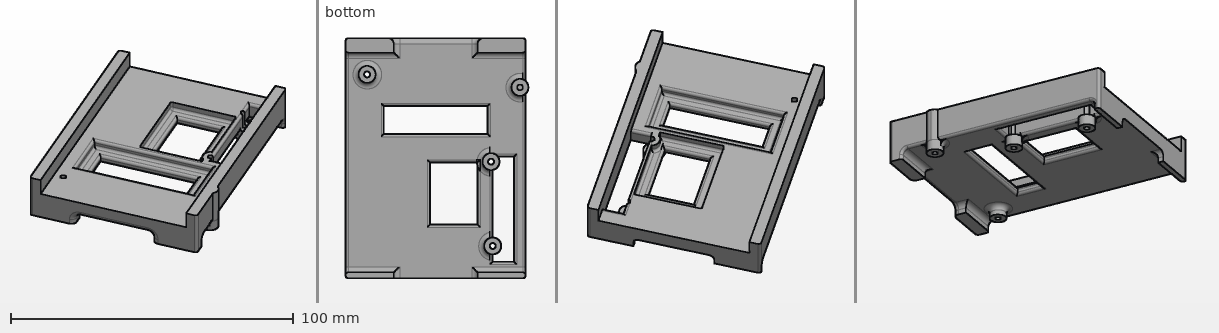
import cadquery as cq

WIDTH = 63.75
LENGTH = 85.0
HEIGHT = 16.0
RAIL_WIDTH = 4.2
FLOOR_TOP = 10.0
CEILING = 4.0
CORNER_RADIUS = 1.0
EDGE_RADIUS = 1.0

FRONT_PASS_LEFT = 17.1
FRONT_PASS_RIGHT = 46.75
SIDE_PASS_FRONT = 5.1
SIDE_PASS_BACK = 82.9
PASS_RADIUS = 2.0
FRONT_EDGE_RADIUS = 2.0

LEDGE_Z = 7.05
LEDGE_WIDTH = 4.1
TALL_WINDOW = (25.8, 39.95, 50.75, 69.95)
WIDE_WINDOW = (9.5, 20.0, 54.3, 37.9)
TALL_CORNER_RADIUS = 0.7

SLOT_LEFT = 52.1
SLOT_FRONT = 42.0
SLOT_BACK = 79.05
SLOT_RIGHT = WIDTH - RAIL_WIDTH

BOSS_RADIUS = 6.0 / 2
HOLE_DIAMETER = 2.0
FLARE_RADIUS = 2.0
BOSS_SEAT_RADIUS = 0.5
SLOT_BACK_BOSS = (52.1, 73.5)
SLOT_FRONT_BOSS = (51.5, 43.7)
RAIL_BOSS_OVERHANG = 1.0
RAIL_BOSS = (WIDTH + RAIL_BOSS_OVERHANG - BOSS_RADIUS, 17.4)
LEFT_BOSS = (7.65, 12.8)
SLOT_BOSSES = (SLOT_BACK_BOSS, SLOT_FRONT_BOSS)
BOSSES = SLOT_BOSSES + (RAIL_BOSS, LEFT_BOSS)

CORNER_FILL_LEFT = 49.5


def block(x0, y0, z0, x1, y1, z1):
    """Box between two opposite corners."""
    return cq.Workplane("XY").box(x1 - x0, y1 - y0, z1 - z0, centered=False).translate((x0, y0, z0))


def cylinder(center, radius, z0, z1):
    """Vertical cylinder between two heights."""
    return cq.Workplane("XY", origin=(*center, z0)).circle(radius).extrude(z1 - z0)


def flared_post(radius, height, flare_radius):
    """Upright post at the origin whose foot spreads out in a concave arc."""
    profile = (
        cq.Workplane("XZ")
        .lineTo(radius + flare_radius, 0)
        .radiusArc((radius, flare_radius), flare_radius)
        .lineTo(radius, height)
        .lineTo(0, height)
        .close()
    )
    return profile.revolve(360, (0, 0, 0), (0, 1, 0))


def edges_within(x0, y0, z0, x1, y1, z1, margin=0.04):
    """Selector for edges whose bounding boxes lie inside a box."""
    return cq.selectors.BoxSelector(
        (x0 - margin, y0 - margin, z0 - margin), (x1 + margin, y1 + margin, z1 + margin), boundingbox=True
    )


def make_body():
    """Block with two rails along the top and crossing underpasses with rounded mouths."""
    body = block(0, 0, 0, WIDTH, LENGTH, HEIGHT).edges("|Z").fillet(CORNER_RADIUS)
    body = body.cut(block(RAIL_WIDTH, 0, FLOOR_TOP, WIDTH - RAIL_WIDTH, LENGTH, HEIGHT))
    front_pass = block(FRONT_PASS_LEFT, 0, 0, FRONT_PASS_RIGHT, LENGTH, CEILING)
    side_pass = block(0, SIDE_PASS_FRONT, 0, WIDTH, SIDE_PASS_BACK, CEILING)
    body = body.cut(front_pass.edges("|Y and >Z").fillet(PASS_RADIUS))
    body = body.cut(side_pass.edges("|X and >Z").fillet(PASS_RADIUS))
    front_mouth = edges_within(FRONT_PASS_LEFT, 0, 0, FRONT_PASS_RIGHT, 0, CEILING)
    body = body.edges(front_mouth).fillet(FRONT_EDGE_RADIUS)
    for x in (0, WIDTH):
        side_mouth = edges_within(x, SIDE_PASS_FRONT, 0, x, SIDE_PASS_BACK, CEILING)
        body = body.edges(side_mouth).fillet(EDGE_RADIUS)
    return body


def cut_slot(body):
    """Slot beside the rail; its upper left edge is rounded only behind the front boss hole."""
    body = body.cut(block(SLOT_LEFT, SLOT_FRONT, 0, SLOT_RIGHT, SLOT_BACK, FLOOR_TOP))
    lower_edges = edges_within(SLOT_LEFT, SLOT_FRONT, CEILING, SLOT_RIGHT, SLOT_BACK, CEILING)
    body = body.edges(lower_edges).fillet(EDGE_RADIUS)
    body = body.cut(cylinder(SLOT_FRONT_BOSS, HOLE_DIAMETER / 2, 0, FLOOR_TOP))
    upper_left = edges_within(SLOT_LEFT, SLOT_FRONT_BOSS[1], FLOOR_TOP, SLOT_LEFT, SLOT_BACK, FLOOR_TOP)
    front_end = edges_within(SLOT_LEFT, SLOT_FRONT, FLOOR_TOP, SLOT_RIGHT, SLOT_FRONT, FLOOR_TOP)
    back_end = edges_within(SLOT_LEFT, SLOT_BACK, FLOOR_TOP, SLOT_RIGHT, SLOT_BACK, FLOOR_TOP)
    return body.edges(upper_left + front_end + back_end).fillet(EDGE_RADIUS)


def cut_window(body, bounds, pocket):
    """Cut a pocket and its opening, then round the opening's upper and lower edges."""
    left, front, right, back = bounds
    x0, y0 = left + LEDGE_WIDTH, front + LEDGE_WIDTH
    x1, y1 = right - LEDGE_WIDTH, back - LEDGE_WIDTH
    body = body.cut(block(x0, y0, 0, x1, y1, FLOOR_TOP))
    body = body.edges(edges_within(x0, y0, CEILING, x1, y1, CEILING)).fillet(EDGE_RADIUS)
    body = body.cut(pocket)
    return body.edges(edges_within(x0, y0, LEDGE_Z, x1, y1, LEDGE_Z)).fillet(EDGE_RADIUS)


def add_wide_window(body):
    """Stepped window whose pocket also has a rounded upper edge."""
    x0, y0, x1, y1 = WIDE_WINDOW
    pocket = block(x0, y0, LEDGE_Z, x1, y1, FLOOR_TOP).edges("<Z").fillet(EDGE_RADIUS)
    body = cut_window(body, WIDE_WINDOW, pocket)
    return body.edges(edges_within(x0, y0, FLOOR_TOP, x1, y1, FLOOR_TOP)).fillet(EDGE_RADIUS)


def add_tall_window(body):
    """The pocket steps around the boss that stands in its front right corner."""
    x0, y0, x1, y1 = TALL_WINDOW
    pocket = block(x0, y0, LEDGE_Z, x1, y1, FLOOR_TOP)
    pocket = pocket.cut(block(CORNER_FILL_LEFT, y0, LEDGE_Z, x1, SLOT_FRONT_BOSS[1], FLOOR_TOP))
    pocket = pocket.faces("<Z").edges().fillet(EDGE_RADIUS)
    pocket = pocket.edges("|Z").edges("<X or >Y").fillet(TALL_CORNER_RADIUS)
    body = cut_window(body, TALL_WINDOW, pocket)
    post = flared_post(BOSS_RADIUS, FLOOR_TOP - LEDGE_Z, EDGE_RADIUS).translate((*SLOT_FRONT_BOSS, LEDGE_Z))
    ledge_left = x1 - LEDGE_WIDTH + EDGE_RADIUS
    return body.union(post.intersect(block(ledge_left, y0, LEDGE_Z, SLOT_LEFT - EDGE_RADIUS, y1, FLOOR_TOP)))


def make_boss(center):
    """Post whose upper end flares out to the ceiling, kept clear of the slot and the side edge rounding."""
    post = flared_post(BOSS_RADIUS, CEILING, FLARE_RADIUS).rotate((0, 0, 0), (1, 0, 0), 180)
    post = post.translate((*center, CEILING))
    limit = SLOT_LEFT - EDGE_RADIUS if center[0] < SLOT_RIGHT else WIDTH - EDGE_RADIUS
    post = post.intersect(block(0, 0, 0, limit, LENGTH, CEILING))
    return post.union(cylinder(center, BOSS_RADIUS, 0, CEILING))


def make_boss_seat(center):
    """Web that joins a boss top to the slot wall, blended by a small concave arc."""
    profile = (
        cq.Workplane("XZ")
        .moveTo(SLOT_LEFT - EDGE_RADIUS, CEILING)
        .lineTo(SLOT_LEFT + BOSS_SEAT_RADIUS, CEILING)
        .radiusArc((SLOT_LEFT, CEILING + BOSS_SEAT_RADIUS), BOSS_SEAT_RADIUS)
        .lineTo(SLOT_LEFT, CEILING + EDGE_RADIUS)
        .lineTo(SLOT_LEFT - EDGE_RADIUS, CEILING + EDGE_RADIUS)
        .close()
        .extrude(-LENGTH)
    )
    return profile.intersect(cylinder(center, BOSS_RADIUS, CEILING, FLOOR_TOP))


def add_rail_column(body):
    """Carry the rail boss up the outer side of the rail to its full height."""
    column = cylinder(RAIL_BOSS, BOSS_RADIUS, 0, HEIGHT)
    return body.union(column.cut(block(0, 0, FLOOR_TOP, SLOT_RIGHT, LENGTH, HEIGHT)))


result = cut_slot(make_body())
result = add_tall_window(result)
result = add_wide_window(result)
for boss in BOSSES:
    result = result.union(make_boss(boss))
for boss in SLOT_BOSSES:
    result = result.union(make_boss_seat(boss))
result = add_rail_column(result)
for boss in BOSSES:
    result = result.cut(cylinder(boss, HOLE_DIAMETER / 2, 0, FLOOR_TOP))